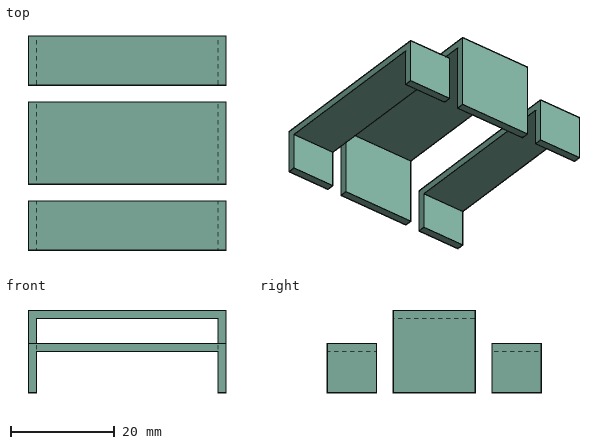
import cadquery as cq

overall_depth = 41.25
module = overall_depth / 13

length = 12 * module
board_thickness = module / 2

table_depth = 5 * module
table_height = 5 * module

bench_depth = 3 * module
bench_height = 3 * module
gap = module
bench_offset = table_depth / 2 + gap + bench_depth / 2


def board_frame(depth, height):
    """Top board with a full-depth leg panel at each end, standing on Z = 0."""
    block = cq.Workplane("XY").box(length, depth, height, centered=(True, True, False))
    opening = cq.Workplane("XY").box(
        length - 2 * board_thickness,
        depth,
        height - board_thickness,
        centered=(True, True, False),
    )
    return block.cut(opening)


def make_table():
    return board_frame(table_depth, table_height)


def make_bench(center_y):
    return board_frame(bench_depth, bench_height).translate((0, center_y, 0))


table = make_table()
benches = [make_bench(side * bench_offset) for side in (-1, 1)]

result = cq.Compound.makeCompound([table.val(), *[bench.val() for bench in benches]])